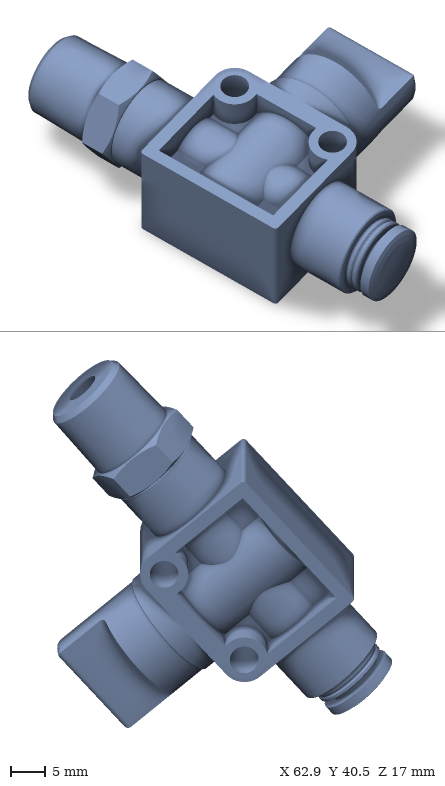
import cadquery as cq
import math


inlet_end_x = -36.5
outlet_end_x = 26.4
knob_tip_y = 30.0
housing_front_y = -10.5

housing_width = 25.0
housing_height = 17.0
housing_back_y = 11.6
mount_hole_diameter = 4.2
mount_boss_radius = 3.5
front_edge_radius = 0.55
side_wall = 2.0
front_wall = 1.95
back_wall = 2.8
web_half_thickness = 4.1

housing_half_width = housing_width / 2
mount_hole_x = housing_half_width - mount_boss_radius
mount_hole_y = housing_back_y - mount_boss_radius
pocket_half_width = housing_half_width - side_wall
pocket_front_y = housing_front_y + front_wall
pocket_back_y = housing_back_y - back_wall

stem_tube_diameter = 13.45
stem_tube_front_y = -7.35
stem_foot_diameter = 10.8
flow_tube_diameter = 11.45

sleeve_diameter = 14.0
sleeve_end_x = 21.5
sleeve_edge_chamfer = 0.2

thread_tip_diameter = 11.5
thread_small_diameter = 12.9
thread_large_diameter = 13.45
thread_tip_length = 0.8
hex_corner_diameter = 16.5
hex_start_x = -25.5
hex_length = 5.1
hex_face_diameter = 14.0
hex_chamfer_angle = 30
inlet_bore_diameter = 5.0

ring_diameter = 11.5
ring_root_diameter = 10.95
ring_width = 0.8
ring_pitch = 1.0
ring_count = 2
ring_bevel = 0.2
neck_diameter = 8.4
collar_diameter = 11.8
collar_start_x = 24.45
collar_rim_end_x = 26.0
collar_bevel_diameter = 10.45
collar_bevel_end_x = 26.2

knob_collar_diameter = 17.0
knob_collar_end_y = 14.9
knob_collar_chamfer = 0.2
knob_diameter = 16.5
knob_shoulder_y = 20.75
handle_thickness = 5.15
handle_root_radius = 1.0
handle_tip_radius = 0.95


def rod_x(diameter, start_x, end_x):
    return cq.Workplane("YZ", origin=(start_x, 0, 0)).circle(diameter / 2).extrude(end_x - start_x)


def rod_y(diameter, start_y, end_y):
    return cq.Workplane("XZ", origin=(0, start_y, 0)).circle(diameter / 2).extrude(start_y - end_y)


def turned_x(profile):
    """Turn a list of (x, radius) points about the X axis."""
    points = [(profile[0][0], 0)] + profile + [(profile[-1][0], 0)]
    return cq.Workplane("XY").polyline(points).close().revolve(360, (0, 0, 0), (1, 0, 0))


def block(x_range, y_range, z_range):
    size = [high - low for low, high in (x_range, y_range, z_range)]
    corner = (x_range[0], y_range[0], z_range[0])
    return cq.Workplane("XY").box(*size, centered=False).translate(corner)


def make_pocket():
    """Pocket in the upper half, leaving the bosses around the mounting holes."""
    z_range = (web_half_thickness, housing_height / 2)
    pocket = block(
        (-pocket_half_width, pocket_half_width),
        (pocket_front_y, pocket_back_y),
        z_range,
    )
    for side in (-1, 1):
        boss = (
            cq.Workplane("XY", origin=(side * mount_hole_x, mount_hole_y, z_range[0]))
            .circle(mount_boss_radius)
            .extrude(z_range[1] - z_range[0])
        )
        inner_x = side * (mount_hole_x - mount_boss_radius)
        outer_x = side * housing_half_width
        boss_corner = block(
            sorted((inner_x, outer_x)),
            (mount_hole_y, housing_back_y),
            z_range,
        )
        pocket = pocket.cut(boss).cut(boss_corner)
    return pocket


def make_housing():
    """Block with a pocket above and below a middle web, and the tubes in them."""
    half_height = housing_height / 2
    housing = block(
        (-housing_half_width, housing_half_width),
        (housing_front_y, housing_back_y),
        (-half_height, half_height),
    )
    housing = housing.edges("|Z and >Y").fillet(mount_boss_radius)
    housing = housing.edges("|Z and <Y").fillet(front_edge_radius)
    pocket = make_pocket()
    housing = housing.cut(pocket).cut(pocket.mirror("XY"))
    housing = housing.union(rod_y(stem_tube_diameter, stem_tube_front_y, pocket_back_y))
    housing = housing.union(rod_y(stem_foot_diameter, pocket_front_y, stem_tube_front_y))
    return housing.union(rod_x(flow_tube_diameter, -pocket_half_width, pocket_half_width))


def make_sleeves():
    inlet_sleeve = rod_x(sleeve_diameter, hex_start_x + hex_length, -pocket_half_width)
    inlet_sleeve = inlet_sleeve.faces("<X").chamfer(sleeve_edge_chamfer)
    outlet_sleeve = rod_x(sleeve_diameter, pocket_half_width, sleeve_end_x)
    outlet_sleeve = outlet_sleeve.faces(">X").chamfer(sleeve_edge_chamfer)
    return inlet_sleeve.union(outlet_sleeve)


def make_inlet():
    """Tapered thread body and a hexagon with both rims bevelled."""
    hex_end_x = hex_start_x + hex_length
    thread = turned_x([
        (inlet_end_x, thread_tip_diameter / 2),
        (inlet_end_x + thread_tip_length, thread_small_diameter / 2),
        (hex_start_x, thread_large_diameter / 2),
    ])
    hexagon = (
        cq.Workplane("YZ", origin=(hex_start_x, 0, 0))
        .polygon(6, hex_corner_diameter)
        .extrude(hex_length)
    )
    bevel_rise = (hex_corner_diameter - hex_face_diameter) / 2
    bevel_length = bevel_rise * math.tan(math.radians(hex_chamfer_angle))
    bevel_envelope = turned_x([
        (hex_start_x, hex_face_diameter / 2),
        (hex_start_x + bevel_length, hex_corner_diameter / 2),
        (hex_end_x - bevel_length, hex_corner_diameter / 2),
        (hex_end_x, hex_face_diameter / 2),
    ])
    bore = rod_x(inlet_bore_diameter, inlet_end_x, hex_end_x)
    return thread.union(hexagon.intersect(bevel_envelope)).cut(bore)


def make_outlet():
    """Grip rings, neck and release collar of the push-in end."""
    rings_end_x = sleeve_end_x + ring_count * ring_pitch
    outlet = rod_x(neck_diameter, sleeve_end_x, collar_start_x)
    outlet = outlet.union(rod_x(ring_root_diameter, sleeve_end_x, rings_end_x - ring_bevel))
    for index in range(ring_count):
        ring_end_x = rings_end_x - index * ring_pitch
        ring = rod_x(ring_diameter, ring_end_x - ring_width, ring_end_x)
        outlet = outlet.union(ring.edges().chamfer(ring_bevel))
    collar = turned_x([
        (collar_start_x, collar_diameter / 2),
        (collar_rim_end_x, collar_diameter / 2),
        (collar_bevel_end_x, collar_bevel_diameter / 2),
        (outlet_end_x, neck_diameter / 2),
    ])
    return outlet.union(collar)


def make_knob():
    """Round knob cut down on both sides to a flat handle."""
    collar = rod_y(knob_collar_diameter, pocket_back_y, knob_collar_end_y)
    collar = collar.faces(">Y").chamfer(knob_collar_chamfer)
    knob = rod_y(knob_diameter, pocket_back_y, knob_tip_y)
    knob_radius = knob_diameter / 2
    relief = block(
        (-knob_radius, knob_radius),
        (knob_shoulder_y, knob_tip_y),
        (handle_thickness / 2, knob_radius),
    )
    relief = relief.edges("|X and <Y and <Z").fillet(handle_root_radius)
    knob = knob.cut(relief).cut(relief.mirror("XY"))
    knob = knob.faces(">Y").edges().fillet(handle_tip_radius)
    return collar.union(knob)


mount_holes = (
    cq.Workplane("XY")
    .pushPoints([(-mount_hole_x, mount_hole_y), (mount_hole_x, mount_hole_y)])
    .circle(mount_hole_diameter / 2)
    .extrude(housing_height, both=True)
)

result = (
    make_housing()
    .union(make_sleeves())
    .union(make_inlet())
    .union(make_outlet())
    .union(make_knob())
    .cut(mount_holes)
)